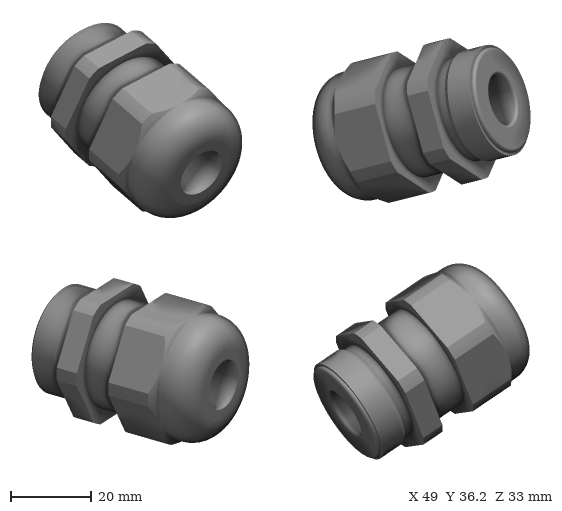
import cadquery as cq
import math


bore_diameter = 13.0
tip_diameter = 26.89
thread_diameter = 28.4
body_diameter = 28.3
across_flats = 33.0
across_corners = 36.2
rim_radius = 0.8

tip_length = 1.1
thread_end = 7.6
relief_start = 8.7
collar_start = 11.0
collar_end = 17.0
nut_start = 26.5
nut_flats_end = 40.0
dome_start = 42.0
total_length = 49.0

bore_radius = bore_diameter / 2
tip_radius = tip_diameter / 2
thread_radius = thread_diameter / 2
body_radius = body_diameter / 2
dome_base_radius = across_flats / 2
corner_radius = across_corners / 2
dome_radius = total_length - dome_start
corner_chamfer = corner_radius - dome_base_radius


def cylinder(start, end, radius):
    """Solid cylinder on the X axis between two stations."""
    return cq.Workplane("YZ", origin=(start, 0, 0)).circle(radius).extrude(end - start)


def hexagon(start, end):
    """Hexagonal prism with flats facing +Z and -Z and corners rounded to a cylinder."""
    sharp_corners = across_flats / math.cos(math.pi / 6)
    prism = cq.Workplane("YZ", origin=(start, 0, 0)).polygon(6, sharp_corners).extrude(end - start)
    return prism.intersect(cylinder(start, end, corner_radius))


def threaded_stub():
    """Plain tip with a rounded rim, thread cylinder and tapered relief up to the collar."""
    tip = cylinder(0, thread_end, tip_radius).faces("<X").edges().fillet(rim_radius)
    thread = (
        cq.Workplane("XY")
        .moveTo(tip_length, 0)
        .lineTo(tip_length, thread_radius)
        .lineTo(thread_end, thread_radius)
        .lineTo(relief_start, tip_radius)
        .lineTo(collar_start, tip_radius)
        .lineTo(collar_start, 0)
        .close()
        .revolve(360, (0, 0, 0), (1, 0, 0))
    )
    return tip.union(thread)


def cap_nut():
    """Hexagon nut with 45 degree chamfered corners, followed by a round neck and dome."""
    chamfered_blank = cylinder(nut_start, nut_flats_end, corner_radius).faces(">X").chamfer(corner_chamfer)
    nut = hexagon(nut_start, nut_flats_end).intersect(chamfered_blank)
    dome = cylinder(nut_start, total_length, dome_base_radius).faces(">X").edges().fillet(dome_radius)
    return nut.union(dome)


def bore():
    """Through bore with a rounded mouth at the threaded end."""
    mouth = (
        cq.Workplane("XY")
        .lineTo(0, bore_radius + rim_radius)
        .radiusArc((rim_radius, bore_radius), -rim_radius)
        .lineTo(rim_radius, 0)
        .close()
        .revolve(360, (0, 0, 0), (1, 0, 0))
    )
    return cylinder(0, total_length, bore_radius).union(mouth)


collar = hexagon(collar_start, collar_end)
body = cylinder(collar_end, nut_start, body_radius)

result = threaded_stub().union(collar).union(body).union(cap_nut()).cut(bore())